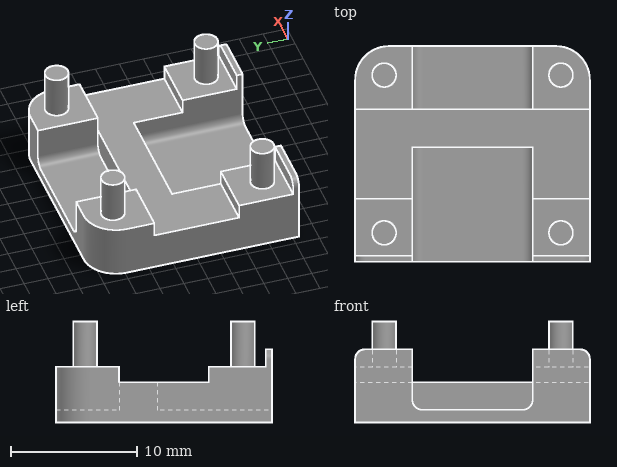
import cadquery as cq

width = 18.6
depth = 17.1
total_height = 8.0
pad_height = 4.43
back_corner_radius = 2.7

channel_width = 9.52
floor_thickness = 1.0
channel_fillet = 0.8
bridge_height = 3.2
bridge_front = 9.1
back_pad_depth = 5.0
front_pad_depth = 5.02

lip_height = 5.8
lip_thickness = 0.5
lip_corner_radius = 0.8

pin_diameter = 1.9
pin_inset = 2.3

bridge_back = depth - back_pad_depth


def block(size_x, y_start, y_end, z_start, z_end):
    """Box centred on X between the given Y and Z limits."""
    return (
        cq.Workplane("XY")
        .box(size_x, y_end - y_start, z_end - z_start, centered=(True, False, False))
        .translate((0, y_start, z_start))
    )


def make_base():
    base = block(width, 0, depth, 0, pad_height)
    return base.edges("|Z and >Y").fillet(back_corner_radius)


def make_lip():
    lip = block(width, 0, lip_thickness, 0, lip_height)
    return lip.edges("|Y and >Z").fillet(lip_corner_radius)


def make_channel(y_start, y_end):
    """Cutter with rounded lower edges, tall enough to clear the lip."""
    channel = block(channel_width, y_start, y_end, floor_thickness, total_height)
    return channel.edges("|Y and <Z").fillet(channel_fillet)


def make_pins():
    return (
        cq.Workplane("XY")
        .center(0, depth / 2)
        .rect(width - 2 * pin_inset, depth - 2 * pin_inset, forConstruction=True)
        .vertices()
        .circle(pin_diameter / 2)
        .extrude(total_height)
    )


saddle = block(width, front_pad_depth, bridge_back, bridge_height, total_height)
result = (
    make_base()
    .union(make_lip())
    .union(make_pins())
    .cut(saddle)
    .cut(make_channel(0, bridge_front))
    .cut(make_channel(bridge_back, depth))
)